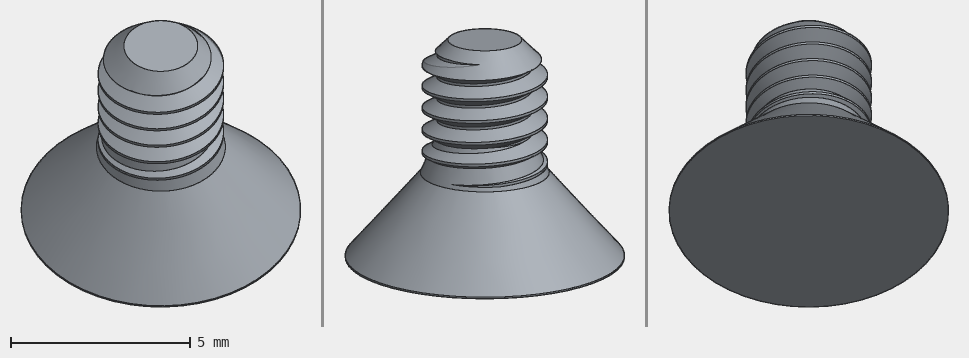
import cadquery as cq
import math


total_height = 6.35
head_radius = 3.9
head_rim_height = 0.05
head_cone_angle = 82.0

neck_base_radius = 1.8
neck_half_angle = 22.0

major_radius = 3.505 / 2
pitch = 25.4 / 40
flank_half_angle = 30.0
sharp_thread_height = pitch / 2 / math.tan(math.radians(flank_half_angle))
thread_depth = sharp_thread_height * 3 / 4
root_radius = major_radius - thread_depth
crest_flat = pitch / 8
crest_height_at_plus_x = 2.974
buried_turns = 3
overrun_turns = 1
ridge_root_overlap = 0.02

tip_radius = 1.03
crest_clearance = 0.25
envelope_radius = major_radius + crest_clearance

head_top_z = head_rim_height + (head_radius - neck_base_radius) / math.tan(math.radians(head_cone_angle / 2))
neck_top_z = head_top_z + (neck_base_radius - root_radius) / math.tan(math.radians(neck_half_angle))

shank_embedment = 2 * pitch
shank_base_z = head_top_z - shank_embedment
shank_length = total_height - shank_base_z


def make_head():
    """Rim, countersunk cone and neck as one turned body."""
    profile = (
        cq.Workplane("XZ")
        .moveTo(0, 0)
        .lineTo(head_radius, 0)
        .lineTo(head_radius, head_rim_height)
        .lineTo(neck_base_radius, head_top_z)
        .lineTo(root_radius, neck_top_z)
        .lineTo(0, neck_top_z)
        .close()
    )
    return profile.revolve(360, (0, 0, 0), (0, 1, 0))


def make_core():
    """Rod at the thread root diameter, from inside the head to the end face."""
    return cq.Workplane("XY").workplane(offset=shank_base_z).circle(root_radius).extrude(shank_length)


def make_tip_envelope():
    """Rod wider than the thread whose chamfered top sets the screw tip."""
    envelope = cq.Workplane("XY").workplane(offset=shank_base_z).circle(envelope_radius).extrude(shank_length)
    return envelope.faces(">Z").chamfer(envelope_radius - tip_radius)


def make_thread_ridge():
    """Right-hand helical ridge that runs past both ends of the shank."""
    inner_radius = root_radius - ridge_root_overlap
    half_crest = crest_flat / 2
    half_base = half_crest + (major_radius - inner_radius) * math.tan(math.radians(flank_half_angle))

    start_z = crest_height_at_plus_x - buried_turns * pitch
    turns = math.ceil((total_height - start_z) / pitch) + overrun_turns
    path = cq.Wire.makeHelix(pitch, turns * pitch, root_radius, center=cq.Vector(0, 0, start_z))
    section = cq.Workplane("XZ").polyline(
        [
            (inner_radius, start_z - half_base),
            (inner_radius, start_z + half_base),
            (major_radius, start_z + half_crest),
            (major_radius, start_z - half_crest),
        ]
    ).close()
    return section.sweep(cq.Workplane(path), isFrenet=True)


threaded_shank = make_core().union(make_thread_ridge()).intersect(make_tip_envelope())
result = make_head().union(threaded_shank)